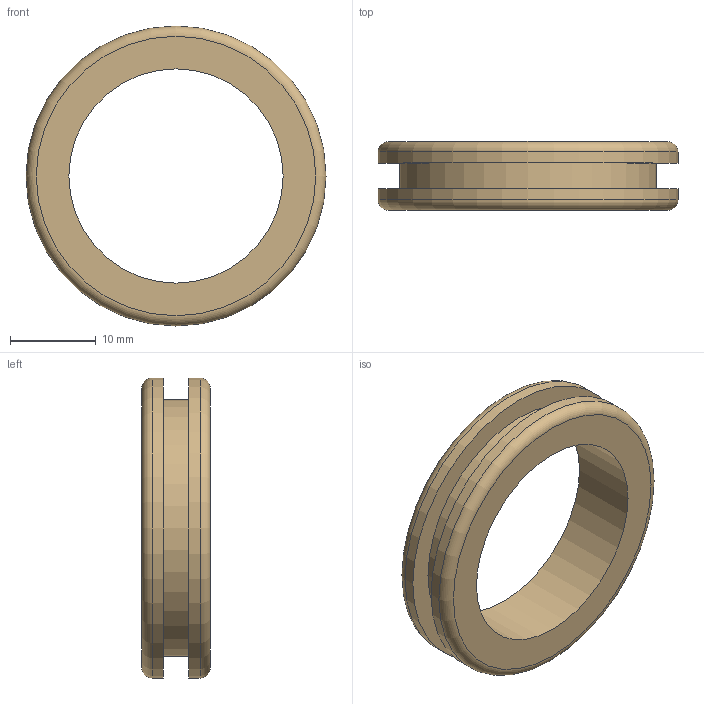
import cadquery as cq

outer_diameter = 35.0
groove_diameter = 30.0
bore_diameter = 25.0
width = 8.0
groove_width = 3.0
rim_fillet = 1.2


def disc(diameter, length):
    """Solid cylinder along Y, centred on the origin."""
    return cq.Workplane("XZ", origin=(0, length / 2, 0)).circle(diameter / 2).extrude(length)


def rounded_body():
    """Full-width disc with both outer edges rounded."""
    return disc(outer_diameter, width).edges("%CIRCLE").fillet(rim_fillet)


def groove():
    """Ring of material removed between the two flanges."""
    return disc(outer_diameter, groove_width).cut(disc(groove_diameter, groove_width))


bore = disc(bore_diameter, width)

result = rounded_body().cut(groove()).cut(bore)